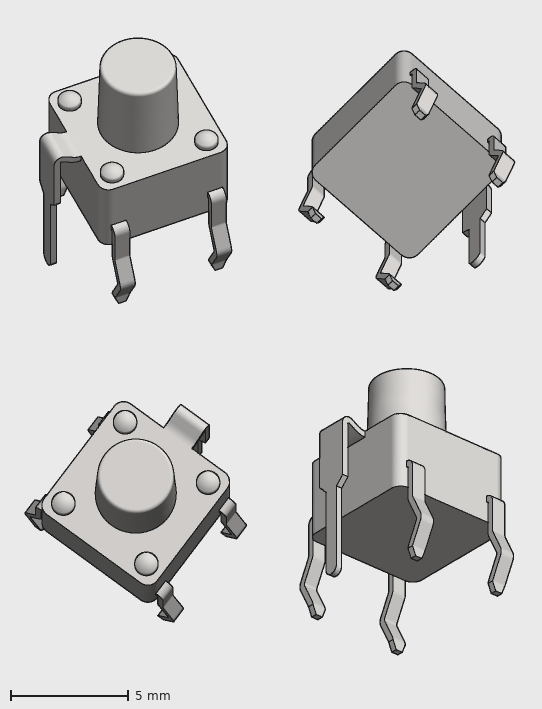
import cadquery as cq
import math


total_height = 10.9
lead_span_x = 7.9
depth_y = 7.25

body_side = 6.0
body_height = 3.6
body_corner_radius = 0.5

button_top_z = 7.29
button_base_diameter = 3.45
button_top_diameter = 3.25
button_edge_radius = 0.15

rivet_diameter = 1.0
rivet_spacing = 4.4
rivet_wall_height = 0.2
rivet_height = 0.4
rivet_edge_radius = 0.1

sheet_thickness = 0.29
lead_width = 0.7
half_sheet = sheet_thickness / 2
half_width = lead_width / 2
half_body = body_side / 2
embed = 0.22

contact_spacing_y = 4.5
contact_top_z = 1.28
contact_shoulder_inner_radius = 0.1
contact_kink_inner_radius = 0.17
contact_kink_angle = math.radians(26.7)
contact_kink_start_z = -0.66
contact_tip_z = -3.52
contact_tip_length = 0.44
contact_tip_width = 0.35

ground_width = 1.5
ground_taper_top_z = 0.98
ground_taper_bottom_z = 0.59
ground_rise_angle = math.radians(30)
ground_root_radius = 0.72
ground_crest_inner_radius = 0.05
ground_end_z = button_top_z - total_height


def bent_strip(plane, corners, bend_radii, width):
    """Sweep a flat strip along a centreline whose inner corners are rounded.

    corners are the sharp corners of the centreline in the given plane, and
    bend_radii are the centreline radii at the corners between the two ends.
    """
    points = [cq.Vector(*corner) for corner in corners]
    path = cq.Workplane(plane).moveTo(points[0].x, points[0].y)
    for before, corner, after, radius in zip(points, points[1:], points[2:], bend_radii):
        arriving = (corner - before).normalized()
        leaving = (after - corner).normalized()
        setback = radius * math.tan(arriving.getAngle(leaving) / 2)
        bend_start = corner - arriving * setback
        bend_end = corner + leaving * setback
        path = path.lineTo(bend_start.x, bend_start.y)
        path = path.tangentArcPoint((bend_end.x, bend_end.y), relative=False)
    path = path.lineTo(points[-1].x, points[-1].y)

    section_plane = cq.Plane(
        origin=path.plane.toWorldCoords(corners[0]),
        xDir=path.plane.zDir,
        normal=path.plane.xDir,
    )
    return cq.Workplane(section_plane).rect(width, sheet_thickness).sweep(path)


def housing():
    block = cq.Workplane("XY").rect(body_side, body_side).extrude(body_height)
    return block.edges("|Z").fillet(body_corner_radius)


def button():
    base_radius = button_base_diameter / 2
    top_radius = button_top_diameter / 2
    profile = (
        cq.Workplane("XZ")
        .moveTo(0, body_height)
        .lineTo(base_radius, body_height)
        .lineTo(top_radius, button_top_z)
        .lineTo(0, button_top_z)
        .close()
    )
    cap = profile.revolve(360, (0, 0, 0), (0, 1, 0))
    return cap.faces(">Z").edges().fillet(button_edge_radius)


def rivet():
    radius = rivet_diameter / 2
    dome_rise = rivet_height - rivet_wall_height
    dome_radius = (radius**2 + dome_rise**2) / (2 * dome_rise)
    half_angle = math.asin(radius / dome_radius) / 2
    dome_middle = (
        dome_radius * math.sin(half_angle),
        rivet_height - dome_radius * (1 - math.cos(half_angle)),
    )
    profile = (
        cq.Workplane("XZ")
        .lineTo(radius, 0)
        .lineTo(radius, rivet_wall_height)
        .threePointArc(dome_middle, (0, rivet_height))
        .close()
    )
    pin = profile.revolve(360, (0, 0, 0), (0, 1, 0))
    pin = pin.faces("%CYLINDER").edges(">Z").fillet(rivet_edge_radius)
    return pin.translate((0, 0, body_height))


def contact_lead():
    """Kinked lead on the +X side, centred on Y = 0."""
    shoulder_radius = contact_shoulder_inner_radius + half_sheet
    kink_radius = contact_kink_inner_radius + half_sheet
    start_z = contact_top_z - half_sheet
    shank_x = half_body + shoulder_radius
    knee_x = lead_span_x / 2 - half_sheet + kink_radius * (1 / math.cos(contact_kink_angle) - 1)
    kink_rise = (knee_x - shank_x) / math.tan(contact_kink_angle)
    corners = [
        (half_body - embed, start_z),
        (shank_x, start_z),
        (shank_x, contact_kink_start_z),
        (knee_x, contact_kink_start_z - kink_rise),
        (shank_x, contact_kink_start_z - 2 * kink_rise),
        (shank_x, contact_tip_z),
    ]
    strip = bent_strip("XZ", corners, [shoulder_radius] + [kink_radius] * 3, lead_width)

    tip_start_z = contact_tip_z + contact_tip_length
    outline = (
        cq.Workplane("YZ")
        .polyline([
            (-half_width, contact_top_z),
            (-half_width, tip_start_z),
            (-contact_tip_width / 2, contact_tip_z),
            (contact_tip_width / 2, contact_tip_z),
            (half_width, tip_start_z),
            (half_width, contact_top_z),
        ])
        .close()
        .extrude(lead_span_x)
    )
    return strip.intersect(outline)


def ground_lead():
    """Lead that rises from the top of the -Y wall and hangs down in front of it."""
    root_radius = ground_root_radius + half_sheet
    crest_radius = ground_crest_inner_radius + half_sheet
    root_z = body_height - half_sheet
    root_y = half_body + root_radius * math.tan(ground_rise_angle / 2)
    hanging_y = depth_y - half_body - half_sheet
    crest_z = root_z + (hanging_y - root_y) * math.tan(ground_rise_angle)
    corners = [
        (half_body - embed, root_z),
        (root_y, root_z),
        (hanging_y, crest_z),
        (hanging_y, ground_end_z),
    ]
    strip = bent_strip("YZ", corners, [root_radius, crest_radius], ground_width).mirror("XZ")

    half_ground = ground_width / 2
    round_end_z = ground_end_z + half_width
    outline = (
        cq.Workplane("XZ")
        .moveTo(-half_ground, button_top_z)
        .lineTo(-half_ground, ground_taper_top_z)
        .lineTo(-half_width, ground_taper_bottom_z)
        .lineTo(-half_width, round_end_z)
        .threePointArc((0, ground_end_z), (half_width, round_end_z))
        .lineTo(half_width, ground_taper_bottom_z)
        .lineTo(half_ground, ground_taper_top_z)
        .lineTo(half_ground, button_top_z)
        .close()
        .extrude(depth_y)
    )
    return strip.intersect(outline)


result = housing().union(button()).union(ground_lead())

for side_x in (-1, 1):
    for side_y in (-1, 1):
        rivet_place = (side_x * rivet_spacing / 2, side_y * rivet_spacing / 2, 0)
        result = result.union(rivet().translate(rivet_place))

right_lead = contact_lead()
for lead in (right_lead, right_lead.mirror("YZ")):
    for side_y in (-1, 1):
        result = result.union(lead.translate((0, side_y * contact_spacing_y / 2, 0)))